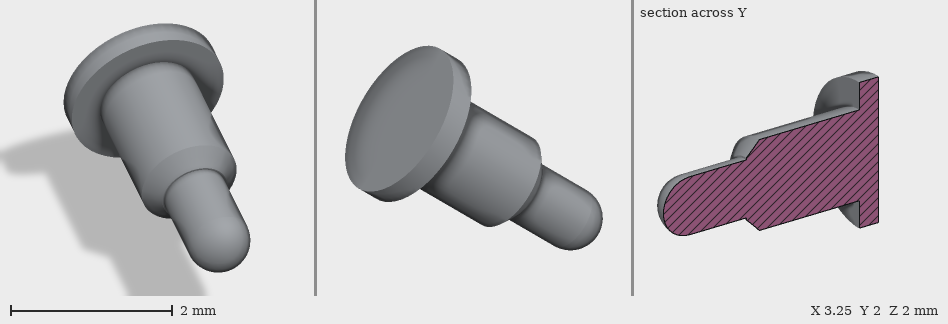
import cadquery as cq

overall_length = 3.25
flange_diameter = 2.0
flange_thickness = 0.3
barrel_diameter = 1.25
barrel_length = 1.5
barrel_chamfer = 0.2
plunger_diameter = 0.8

flange_radius = flange_diameter / 2
barrel_radius = barrel_diameter / 2
barrel_end_radius = barrel_radius - barrel_chamfer
plunger_radius = plunger_diameter / 2

barrel_bevel_x = flange_thickness + barrel_length
barrel_end_x = barrel_bevel_x + barrel_chamfer
dome_start_x = overall_length - plunger_radius


def turned_pin():
    """Flange, bevelled barrel and round-nosed plunger as one turned profile."""
    half_profile = (
        cq.Workplane("XY")
        .moveTo(0, 0)
        .lineTo(0, -flange_radius)
        .lineTo(flange_thickness, -flange_radius)
        .lineTo(flange_thickness, -barrel_radius)
        .lineTo(barrel_bevel_x, -barrel_radius)
        .lineTo(barrel_end_x, -barrel_end_radius)
        .lineTo(barrel_end_x, -plunger_radius)
        .lineTo(dome_start_x, -plunger_radius)
        .radiusArc((overall_length, 0), -plunger_radius)
        .close()
    )
    return half_profile.revolve(360, (0, 0, 0), (1, 0, 0))


result = turned_pin()